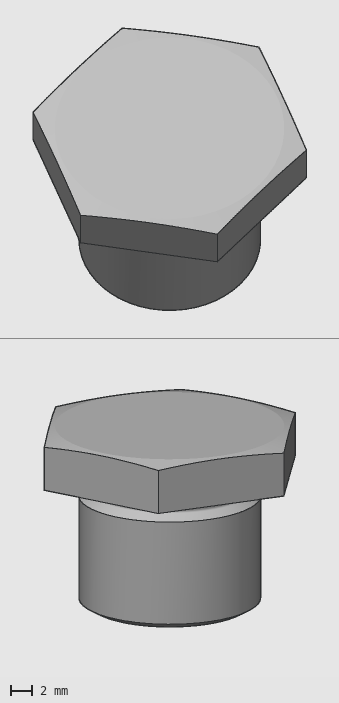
import cadquery as cq
import math

total_height = 17.0

across_flats = 22.0
head_height = 4.5
head_face_diameter = 21.0
head_chamfer_angle = 10.0

shank_diameter = 16.662
groove_depth = 1.0
groove_width = 2.15
groove_fillet = 0.22
slope_angle = 30.0

across_corners = across_flats / math.cos(math.radians(30))
head_bottom = total_height - head_height
shank_radius = shank_diameter / 2
neck_radius = shank_radius - groove_depth
slope = math.tan(math.radians(slope_angle))
end_chamfer_height = groove_depth * slope
groove_bottom = head_bottom - groove_width


def make_head():
    """Hexagon prism whose top corners are cut by a shallow cone."""
    prism = (
        cq.Workplane("XY")
        .workplane(offset=head_bottom)
        .polygon(6, across_corners)
        .extrude(head_height)
    )
    face_radius = head_face_diameter / 2
    cone_radius = across_corners
    cone_drop = (cone_radius - face_radius) * math.tan(math.radians(head_chamfer_angle))
    chamfer_cone = (
        cq.Workplane("XZ")
        .moveTo(0, head_bottom)
        .lineTo(-cone_radius, head_bottom)
        .lineTo(-cone_radius, total_height - cone_drop)
        .lineTo(-face_radius, total_height)
        .lineTo(0, total_height)
        .close()
        .revolve(360, (0, 0, 0), (0, 1, 0))
    )
    return prism.intersect(chamfer_cone)


def make_shank():
    """Turned shank with a chamfered end and a relief groove below the head."""
    turn = math.radians(90 - slope_angle)
    fillet_end_radius = neck_radius + groove_fillet * (1 - math.cos(turn))
    fillet_end_z = groove_bottom + (shank_radius - fillet_end_radius) * slope
    fillet_start_z = fillet_end_z + groove_fillet * math.sin(turn)
    fillet_middle_radius = neck_radius + groove_fillet * (1 - math.cos(turn / 2))
    fillet_middle_z = fillet_start_z - groove_fillet * math.sin(turn / 2)

    return (
        cq.Workplane("XZ")
        .moveTo(0, 0)
        .lineTo(-neck_radius, 0)
        .lineTo(-shank_radius, end_chamfer_height)
        .lineTo(-shank_radius, groove_bottom)
        .lineTo(-fillet_end_radius, fillet_end_z)
        .threePointArc(
            (-fillet_middle_radius, fillet_middle_z),
            (-neck_radius, fillet_start_z),
        )
        .lineTo(-neck_radius, head_bottom)
        .lineTo(0, head_bottom)
        .close()
        .revolve(360, (0, 0, 0), (0, 1, 0))
    )


result = make_head().union(make_shank())